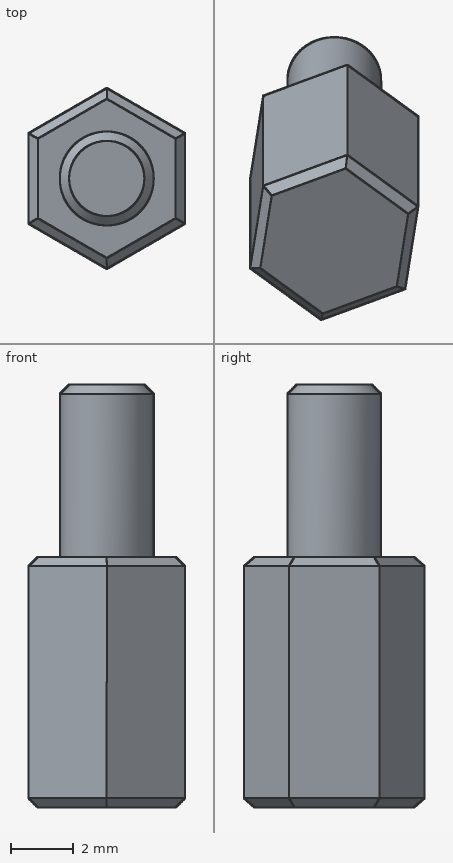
import cadquery as cq
import math

across_flats = 5.0
body_height = 8.0
stud_diameter = 3.0
stud_length = 5.5
chamfer = 0.3

across_corners = across_flats / math.cos(math.pi / 6)


def hex_body():
    """Hexagonal prism with flats facing +/-X, chamfered along both end faces."""
    prism = cq.Workplane("XY").polygon(6, across_corners).extrude(body_height)
    corners_along_y = prism.rotate((0, 0, 0), (0, 0, 1), 90)
    return corners_along_y.faces("<Z or >Z").edges().chamfer(chamfer)


def stud():
    """Round stud standing on the body, chamfered at its free end."""
    pin = cq.Workplane("XY", origin=(0, 0, body_height)).circle(stud_diameter / 2).extrude(stud_length)
    return pin.faces(">Z").edges().chamfer(chamfer)


result = hex_body().union(stud())